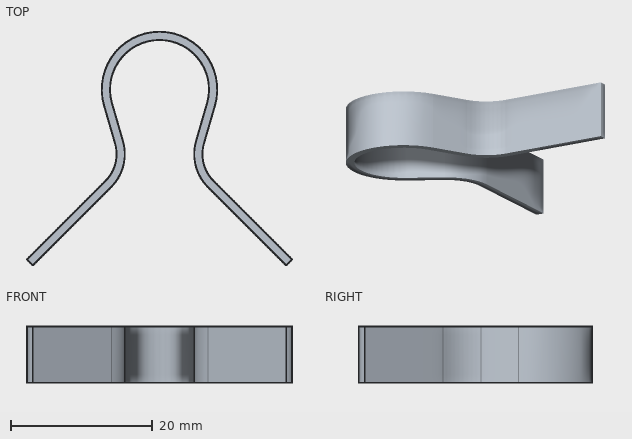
import cadquery as cq
import math

strip_thickness = 1.2
strip_width = 8.0
overall_span = 37.6
overall_depth = 33.15
loop_inner_radius = 7.0
neck_bend_inner_radius = 5.4
neck_gap = 9.8
leg_angle = math.radians(45)

loop_outer_radius = loop_inner_radius + strip_thickness
neck_bend_outer_radius = neck_bend_inner_radius + strip_thickness

tip_outer_x = overall_span / 2
tip_inner_x = tip_outer_x - strip_thickness * math.sin(leg_angle)
tip_inner_y = loop_outer_radius - overall_depth
tip_outer_y = tip_inner_y + strip_thickness * math.cos(leg_angle)

neck_center_x = neck_gap / 2 + neck_bend_outer_radius
neck_center_y = (
    tip_inner_y
    + (tip_inner_x - neck_center_x) * math.tan(leg_angle)
    + neck_bend_outer_radius / math.cos(leg_angle)
)

center_distance = math.hypot(neck_center_x, neck_center_y)
center_angle = math.atan2(-neck_center_y, neck_center_x)
flank_angle = center_angle - math.acos((loop_outer_radius + neck_bend_inner_radius) / center_distance)


def loop_point(radius):
    """Point where the right end of a loop arc meets the flank."""
    return (radius * math.cos(flank_angle), -radius * math.sin(flank_angle))


def neck_point(radius, angle):
    """Point on a right neck-bend arc, at an angle above the -X direction."""
    return (neck_center_x - radius * math.cos(angle), neck_center_y + radius * math.sin(angle))


def mirrored(point):
    """The same point on the left half of the clip."""
    return (-point[0], point[1])


def strip_face(outline, loop_radius, neck_radius, tip):
    """Draw one face of the strip from the right leg end around to the left leg end."""
    loop_end = loop_point(loop_radius)
    neck_top = neck_point(neck_radius, flank_angle)
    neck_middle = neck_point(neck_radius, (flank_angle - leg_angle) / 2)
    neck_bottom = neck_point(neck_radius, -leg_angle)
    return (
        outline.moveTo(*tip)
        .lineTo(*neck_bottom)
        .threePointArc(neck_middle, neck_top)
        .lineTo(*loop_end)
        .threePointArc((0, loop_radius), mirrored(loop_end))
        .lineTo(*mirrored(neck_top))
        .threePointArc(mirrored(neck_middle), mirrored(neck_bottom))
        .lineTo(*mirrored(tip))
    )


def leg_end(outline, start, end):
    """Draw the square-cut end of a leg."""
    return outline.moveTo(*start).lineTo(*end)


outer_tip = (tip_outer_x, tip_outer_y)
inner_tip = (tip_inner_x, tip_inner_y)

profile = cq.Workplane("XY")
profile = strip_face(profile, loop_outer_radius, neck_bend_inner_radius, outer_tip)
profile = leg_end(profile, mirrored(outer_tip), mirrored(inner_tip))
profile = strip_face(profile, loop_inner_radius, neck_bend_outer_radius, inner_tip)
profile = leg_end(profile, inner_tip, outer_tip)

result = profile.consolidateWires().extrude(strip_width)